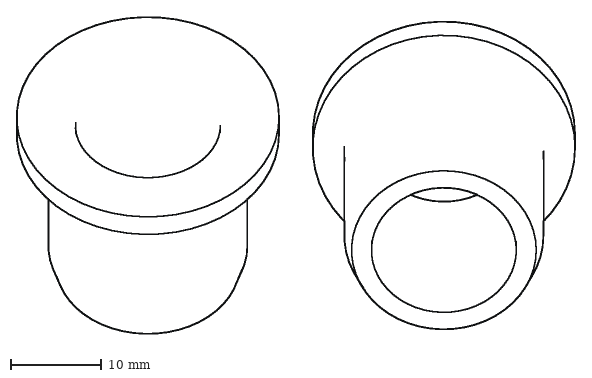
import cadquery as cq
import math

height = 25.0
flange_diameter = 29.0
flange_thickness = 3.0
body_diameter = 22.0
bore_diameter = 16.0

bore_entry_radius = 1.5
neck_fillet_radius = 0.8
lead_in_height = 3.0
lead_in_angle = 15.0

flange_radius = flange_diameter / 2
body_radius = body_diameter / 2
bore_radius = bore_diameter / 2
body_height = height - flange_thickness
lead_in_radius = body_radius - lead_in_height * math.tan(math.radians(lead_in_angle))


def quarter_arc_middle(center_x, center_z, radius, x_side, z_side):
    """Midpoint of a quarter circle lying in the given quadrant about its center."""
    offset = radius * math.sqrt(0.5)
    return (center_x + x_side * offset, center_z + z_side * offset)


neck_outer_radius = body_radius + neck_fillet_radius
neck_bottom = body_height - neck_fillet_radius
neck_middle = quarter_arc_middle(neck_outer_radius, neck_bottom, neck_fillet_radius, -1, 1)

entry_outer_radius = bore_radius + bore_entry_radius
entry_bottom = height - bore_entry_radius
entry_middle = quarter_arc_middle(entry_outer_radius, entry_bottom, bore_entry_radius, -1, 1)

half_section = (
    cq.Workplane("XZ")
    .moveTo(bore_radius, 0)
    .lineTo(lead_in_radius, 0)
    .lineTo(body_radius, lead_in_height)
    .lineTo(body_radius, neck_bottom)
    .threePointArc(neck_middle, (neck_outer_radius, body_height))
    .lineTo(flange_radius, body_height)
    .lineTo(flange_radius, height)
    .lineTo(entry_outer_radius, height)
    .threePointArc(entry_middle, (bore_radius, entry_bottom))
    .close()
)

result = half_section.revolve(360, (0, 0, 0), (0, 1, 0))